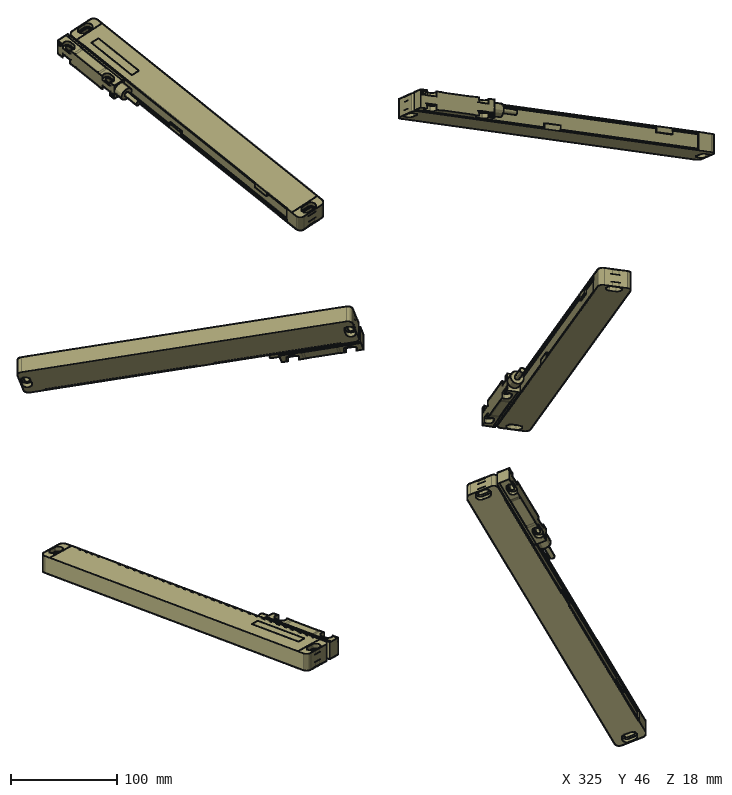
import cadquery as cq


height = 18.0
total_depth = 46.0
counterbore_depth = 5.0

scale_length = 325.0
scale_width = 32.4
scale_front = total_depth - scale_width
scale_middle = scale_front + scale_width / 2
corner_radius = 5.0
end_cap_length = 11.3
end_cap_drop = 0.1

channel_end_inset = 18.7
channel_depth = 2.0
lip_height = 1.0
lip_depth = 1.0
shoulder_height = 2.0
tab_length = 16.8
tab_height = 5.8
upper_tab_start = 261.4
lower_tab_start = 141.1

label_start = 23.5
label_length = 56.8
label_front = 21.5
label_width = 8.8
label_depth = 0.1

end_slot_inset = 5.6
end_slot_straight = 6.0
end_slot_width = 5.1
end_slot_counterbore_width = 9.4

head_length = 79.4
head_depth = 12.7

head_slot_centers = (12.0, 67.9)
head_slot_straight = 4.0
head_slot_width = 4.1
head_slot_middle = 3.8
head_counterbore_width = 8.6
head_counterbore_middle = 3.1

ledge_depth = 2.3
ledge_drop = 0.1
relief_start = 22.0
relief_end = 58.0
relief_ramp = 2.2
relief_back = 10.0
relief_drop = 0.2
relief_bevel_depth = 0.8
relief_bevel_drop = 0.15

screw_end_inset = 2.5
screw_face_inset = 2.9
screw_head_diameter = 4.8
screw_hole_diameter = 2.4
screw_countersink_angle = 90
screw_hole_depth = 6.0

gland_diameter = 13.0
gland_length = 10.1
cable_diameter = 5.0
cable_end = 105.9
cable_middle = 6.5
cable_height = 10.0


def box(x, y, z, length, depth, tall):
    """Box with its lowest corner at (x, y, z)."""
    return cq.Workplane("XY").box(length, depth, tall, centered=False).translate((x, y, z))


def slot(x, y, z, straight, width, tall, angle=0):
    """Upright prism with round ends, standing on height z."""
    return cq.Workplane("XY", origin=(x, y, z)).slot2D(straight + width, width, angle).extrude(tall)


def on_both_faces(cutter):
    """The cutter together with its mirror image about mid height."""
    mirrored = cutter.mirror("XY", (0, 0, height / 2))
    return cutter.add(mirrored).combine()


def front_channel():
    """Stepped channel along the scale's front, tallest at its mouth between the two thin lips."""
    length = scale_length - 2 * channel_end_inset
    mouth = box(channel_end_inset, scale_front, lip_height, length, lip_depth, height - 2 * lip_height)
    inner_height = height - 2 * shoulder_height
    inner = box(channel_end_inset, scale_front, shoulder_height, length, channel_depth, inner_height)
    return mouth.union(inner)


def make_scale():
    body = box(0, scale_front, 0, scale_length, scale_width, height).edges("|Z").fillet(corner_radius)
    body = body.cut(front_channel())
    tab_places = ((upper_tab_start, height - tab_height), (lower_tab_start, 0))
    for tab_x, tab_z in tab_places:
        body = body.union(box(tab_x, scale_front, tab_z, tab_length, channel_depth, tab_height))

    for cap_x in (0, scale_length - end_cap_length):
        cap_top = height - end_cap_drop
        body = body.cut(box(cap_x, scale_front, cap_top, end_cap_length, scale_width, end_cap_drop))
    for slot_x in (end_slot_inset, scale_length - end_slot_inset):
        through = slot(slot_x, scale_middle, 0, end_slot_straight, end_slot_width, height, 90)
        counterbore = slot(
            slot_x, scale_middle, height - counterbore_depth,
            end_slot_straight, end_slot_counterbore_width, counterbore_depth, 90,
        )
        body = body.cut(through).cut(on_both_faces(counterbore))

    label = box(label_start, label_front, height - label_depth, label_length, label_width, label_depth)
    return body.cut(label)


def pad_relief():
    """Trapezoidal relief between the head's mounting pads, with a bevelled front edge."""
    floor = height - relief_drop
    relief = (
        cq.Workplane("XZ")
        .polyline([
            (relief_start, height - ledge_drop),
            (relief_start + relief_ramp, floor),
            (relief_end - relief_ramp, floor),
            (relief_end, height - ledge_drop),
            (relief_end, height),
            (relief_start, height),
        ])
        .close()
        .extrude(-relief_back)
    )
    bevel = (
        cq.Workplane("YZ", origin=(relief_start + relief_ramp, 0, 0))
        .polyline([(0, floor - relief_bevel_drop), (relief_bevel_depth, floor), (0, floor)])
        .close()
        .extrude(relief_end - relief_start - 2 * relief_ramp)
    )
    return relief.union(bevel)


def make_reading_head():
    body = box(0, 0, 0, head_length, head_depth, height)
    pad_drop = box(0, 0, height - ledge_drop, head_length, head_depth - ledge_depth, ledge_drop)
    body = body.cut(on_both_faces(pad_drop)).cut(on_both_faces(pad_relief()))

    for slot_x in head_slot_centers:
        through = slot(slot_x, head_slot_middle, 0, head_slot_straight, head_slot_width, height)
        counterbore = slot(
            slot_x, head_counterbore_middle, height - counterbore_depth,
            head_slot_straight, head_counterbore_width, counterbore_depth,
        )
        body = body.cut(through).cut(on_both_faces(counterbore))

    screw_places = [
        (screw_end_inset, height - screw_face_inset),
        (head_length - screw_end_inset, screw_face_inset),
    ]
    body = (
        body.copyWorkplane(cq.Workplane("XZ"))
        .pushPoints(screw_places)
        .cskHole(screw_hole_diameter, screw_head_diameter, screw_countersink_angle, screw_hole_depth)
    )

    cable_axis = cq.Workplane("YZ", origin=(head_length, cable_middle, cable_height))
    gland = cable_axis.circle(gland_diameter / 2).extrude(gland_length)
    cable = cable_axis.circle(cable_diameter / 2).extrude(cable_end - head_length)
    return body.union(gland).union(cable)


scale = make_scale()
reading_head = make_reading_head()
result = cq.Compound.makeCompound([scale.solids().val(), reading_head.solids().val()])